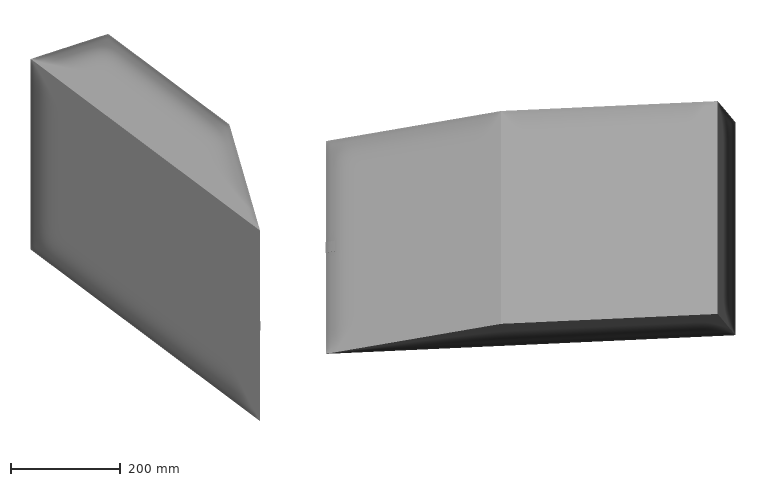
import cadquery as cq

length = 762.0
depth = 169.0
height = 400.0
flat_length = 403.0

overall_length = 763.0
tab_height = 20.0
tab_start = 743.0

slope = depth / (length - flat_length)


def make_wedge():
    outline = [(0, 0), (length, 0), (flat_length, depth), (0, depth)]
    return cq.Workplane("XY").polyline(outline).close().extrude(height)


def make_tab():
    inner_y = (length - tab_start) * slope
    outer_y = (overall_length - tab_start) * slope
    outline = [
        (tab_start, inner_y),
        (length, 0),
        (overall_length, 0),
        (tab_start, outer_y),
    ]
    tab = cq.Workplane("XY").polyline(outline).close().extrude(tab_height)
    return tab.translate((0, 0, (height - tab_height) / 2))


wedge = make_wedge()
tab = make_tab()

result = cq.Compound.makeCompound([wedge.val(), tab.val()])